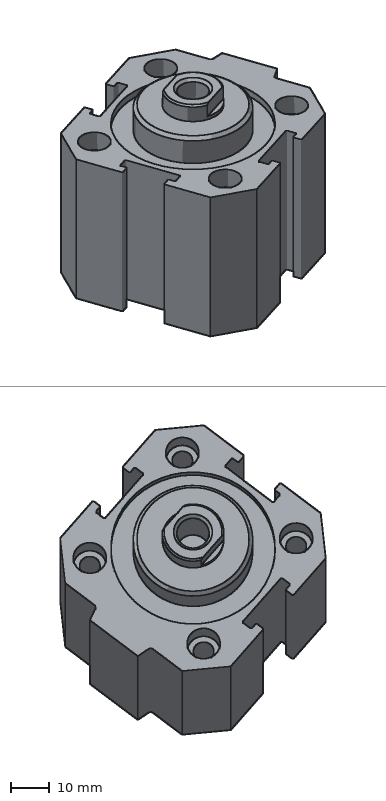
import cadquery as cq
import math

overall_length = 61.0
housing_width = 57.0
half_width = housing_width / 2
housing_height = 43.5
corner_chamfer = 8.95

rail_height = overall_length - housing_width
rail_top_half_width = 8.0
rail_taper_degrees = 15
rail_root_radius = 1.0

slot_mouth_width = 12.0
slot_inner_width = 16.1
slot_lip_thickness = 2.5
slot_depth = 5.5
slot_edge_radius = 0.3

hole_spacing = 38.0
hole_diameter = 5.3
counterbore_diameter = 8.55
counterbore_depth = 5.5

recess_diameter = 42.5
recess_depth = 2.0
boss_diameter = 31.0
boss_height = 6.0
boss_chamfer = 1.0

rod_diameter = 16.0
rod_projection = 5.0
rod_chamfer = 0.5
rod_base_z = 6.0
flat_spacing = 13.0
flat_height = 4.0
socket_diameter = 8.35
socket_mouth_diameter = 10.0
socket_countersink_angle = 90
socket_depth = 12.2

pick_margin = 0.6

boss_top_z = housing_height + boss_height
rod_top_z = boss_top_z + rod_projection


def make_blank():
    """Square block with chamfered vertical corners, its base at Z = 0."""
    block = cq.Workplane("XY").rect(housing_width, housing_width).extrude(housing_height)
    return block.edges("|Z").chamfer(corner_chamfer)


def add_rail(body):
    """Rail on the +Y side that widens towards its filleted root."""
    root_half_width = rail_top_half_width + rail_height * math.tan(math.radians(rail_taper_degrees))
    rail = (
        cq.Workplane("XY")
        .moveTo(-root_half_width, 0)
        .lineTo(-root_half_width, half_width)
        .lineTo(-rail_top_half_width, half_width + rail_height)
        .lineTo(rail_top_half_width, half_width + rail_height)
        .lineTo(root_half_width, half_width)
        .lineTo(root_half_width, 0)
        .close()
        .extrude(housing_height)
    )
    root_edges = cq.selectors.BoxSelector(
        (-root_half_width - pick_margin, half_width - pick_margin, 0),
        (root_half_width + pick_margin, half_width + pick_margin, housing_height),
    )
    return body.union(rail).edges("|Z").edges(root_edges).fillet(rail_root_radius)


def make_slot_cutter():
    """T-slot open to the -Y side over the full height."""
    mouth = (
        cq.Workplane("XY")
        .rect(slot_mouth_width, 2 * slot_depth)
        .extrude(housing_height)
        .translate((0, -half_width, 0))
    )
    inner_depth = slot_depth - slot_lip_thickness
    inner = (
        cq.Workplane("XY")
        .rect(slot_inner_width, inner_depth)
        .extrude(housing_height)
        .translate((0, -half_width + slot_lip_thickness + inner_depth / 2, 0))
    )
    return mouth.union(inner)


def slot_edges():
    """Selector for the upright edges of the -Y slot, mouth corners included."""
    reach = slot_inner_width / 2 + pick_margin
    return cq.selectors.BoxSelector(
        (-reach, -half_width - pick_margin, 0),
        (reach, -half_width + slot_depth + pick_margin, housing_height),
    )


def cut_slots(body):
    """One T-slot with rounded edges on each side that has no rail.

    Each side is turned to face -Y, slotted there and turned back.
    """
    for turn in (-90, 0, 90):
        body = body.rotate((0, 0, 0), (0, 0, 1), turn)
        body = body.cut(make_slot_cutter())
        body = body.edges("|Z").edges(slot_edges()).fillet(slot_edge_radius)
        body = body.rotate((0, 0, 0), (0, 0, 1), -turn)
    return body


def cut_mounting_holes(body):
    return (
        body.faces(">Z")
        .workplane(origin=(0, 0, housing_height))
        .rect(hole_spacing, hole_spacing, forConstruction=True)
        .vertices()
        .cboreHole(hole_diameter, counterbore_diameter, counterbore_depth)
    )


def add_boss(body):
    """Sunken ring with the chamfered rod boss rising from its floor."""
    recess_floor_z = housing_height - recess_depth
    recess = (
        cq.Workplane("XY")
        .workplane(offset=recess_floor_z)
        .circle(recess_diameter / 2)
        .extrude(recess_depth)
    )
    boss = (
        cq.Workplane("XY")
        .workplane(offset=recess_floor_z)
        .circle(boss_diameter / 2)
        .extrude(recess_depth + boss_height)
        .faces(">Z")
        .chamfer(boss_chamfer)
    )
    return body.cut(recess).union(boss)


def cut_rod_bore(body):
    """Blind bore that the rod fills exactly."""
    bore = (
        cq.Workplane("XY")
        .workplane(offset=rod_base_z)
        .circle(rod_diameter / 2)
        .extrude(boss_top_z - rod_base_z)
    )
    return body.cut(bore)


def make_housing():
    body = add_rail(make_blank())
    body = cut_slots(body)
    body = cut_mounting_holes(body)
    body = add_boss(body)
    return cut_rod_bore(body)


def make_rod():
    """Round rod with two wrench flats and a countersunk blind socket in its end."""
    rod = (
        cq.Workplane("XY")
        .workplane(offset=rod_base_z)
        .circle(rod_diameter / 2)
        .extrude(rod_top_z - rod_base_z)
        .faces(">Z")
        .chamfer(rod_chamfer)
    )
    flat_blank = (
        cq.Workplane("XY")
        .workplane(offset=rod_top_z - flat_height)
        .rect(2 * rod_diameter, 2 * rod_diameter)
        .rect(flat_spacing, 2 * rod_diameter)
        .extrude(flat_height)
    )
    return (
        rod.cut(flat_blank)
        .faces(">Z")
        .workplane(origin=(0, 0, rod_top_z))
        .cskHole(socket_diameter, socket_mouth_diameter, socket_countersink_angle, depth=socket_depth)
    )


housing = make_housing()
rod = make_rod()

result = cq.Compound.makeCompound([housing.val(), rod.val()])